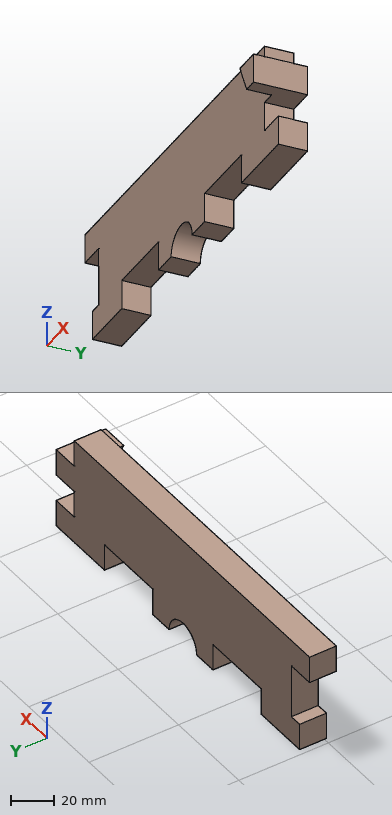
import cadquery as cq

length = 210.0
height = 60.0
overall_depth = 27.7

module = height / 4
plate_front = overall_depth - module
left_foot_inset = 8.2

slot_width = 40.0
slot_center_offset = 45.0
arch_radius = 11.3

hook_bottom_width = module / 2


def box(x_start, x_end, z_start, z_end):
    """Block through the plate thickness, placed by its X and Z limits."""
    return cq.Workplane("XY").box(
        x_end - x_start, module, z_end - z_start, centered=False
    ).translate((x_start, plate_front, z_start))


def make_plate():
    plate = box(0, length, 0, height)

    plate = plate.cut(box(0, module, module, 3 * module))
    plate = plate.cut(box(0, left_foot_inset, 0, module))

    notch_start = length - module
    plate = plate.cut(box(notch_start, length, module, 2 * module))
    plate = plate.cut(box(notch_start, length, 3 * module, height))

    for side in (-1, 1):
        slot_center = length / 2 + side * slot_center_offset
        slot_start = slot_center - slot_width / 2
        plate = plate.cut(box(slot_start, slot_start + slot_width, 0, module))
    arch = (
        cq.Workplane("XZ", origin=(length / 2, overall_depth, 0))
        .circle(arch_radius)
        .extrude(module)
    )
    return plate.cut(arch)


def make_hook():
    root = plate_front + module / 2
    return (
        cq.Workplane("XZ", origin=(0, root, 0))
        .moveTo(length - module, 3 * module)
        .lineTo(length, 3 * module)
        .lineTo(length, 2 * module)
        .lineTo(length - hook_bottom_width, 2 * module)
        .close()
        .extrude(root)
    )


result = make_plate().union(make_hook())